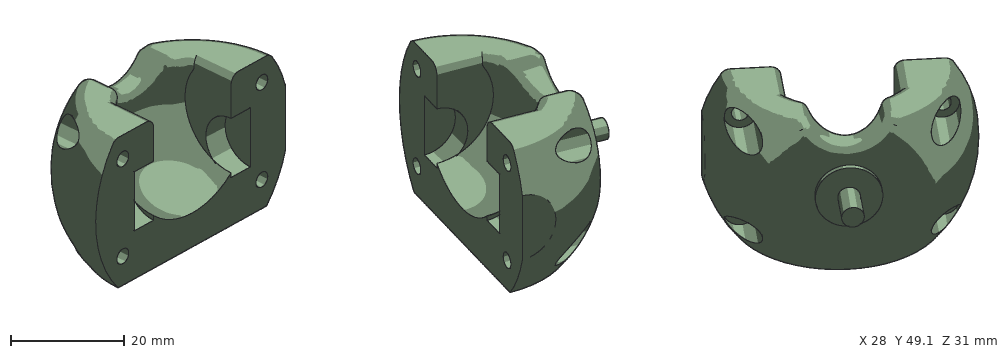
import cadquery as cq

ball_radius = 25.0
front_x = -20.0
top_z = 15.0
bottom_z = -16.0
side_flat_y = 24.1
edge_radius = 1.95

cavity_radius = 15.0
cavity_center_z = 6.0
cavity_half_width = 10.0
recess_radius = 6.1
recess_floor_y = 15.0

groove_radius = 7.5
groove_axis_z = 17.5

collar_radius = 6.0
collar_length = 1.05
shaft_radius = 2.0
shaft_tip_x = -28.0

screw_y = 17.95
screw_z = 10.0
screw_hole_radius = 1.5
counterbore_radius = 3.0
counterbore_floor_x = -7.0

tolerance = 0.005


def x_cylinder(radius, start_x, end_x, y=0.0, z=0.0):
    """Cylinder parallel to X between two X positions."""
    return cq.Workplane("YZ", origin=(start_x, 0, 0)).center(y, z).circle(radius).extrude(end_x - start_x)


def make_shell():
    """Ball trimmed by flats, hollowed, with its top and front edges rounded."""
    envelope = cq.Workplane("XY").box(
        -front_x, ball_radius + side_flat_y, top_z - bottom_z, centered=False
    ).translate((front_x, -ball_radius, bottom_z))
    shell = cq.Workplane("XY").sphere(ball_radius).intersect(envelope)

    slab = cq.Workplane("XY").box(2 * cavity_radius, 2 * cavity_half_width, 2 * cavity_radius)
    cavity = cq.Workplane("XY").sphere(cavity_radius).intersect(slab).translate((0, 0, cavity_center_z))
    shell = shell.cut(cavity)
    shell = shell.cut(x_cylinder(groove_radius, front_x, 0, z=groove_axis_z))

    groove_face = [
        face for face in shell.faces("%CYLINDER").vals() if face.BoundingBox().zmax > top_z - tolerance
    ]
    rounded_faces = shell.faces(">Z").vals() + shell.faces("<X").vals() + groove_face
    edges = {edge.hashCode(): edge for face in rounded_faces for edge in face.Edges()}
    rounded_edges = [edge for edge in edges.values() if edge.BoundingBox().xmin < -tolerance]
    return shell.newObject(rounded_edges).fillet(edge_radius)


def make_side_recess():
    """Round recess along +Y, sunk from the flat cavity wall outwards."""
    depth = recess_floor_y - cavity_half_width
    return cq.Workplane("XZ", origin=(0, cavity_half_width, 0)).circle(recess_radius).extrude(-depth)


def make_screw_hole(y, z):
    """Through hole with a counterbore entered from the front."""
    hole = x_cylinder(screw_hole_radius, -ball_radius, 0, y, z)
    counterbore = x_cylinder(counterbore_radius, -ball_radius, counterbore_floor_x, y, z)
    return hole.union(counterbore)


recess = make_side_recess()
result = make_shell().cut(recess).cut(recess.mirror("XZ"))

for side in (-1, 1):
    for level in (-1, 1):
        result = result.cut(make_screw_hole(side * screw_y, level * screw_z))

result = result.union(x_cylinder(collar_radius, front_x, front_x - collar_length))
result = result.union(x_cylinder(shaft_radius, front_x, shaft_tip_x))